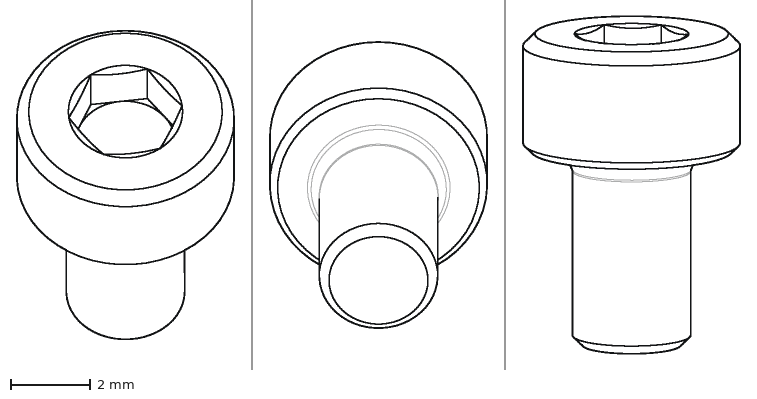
import cadquery as cq
import math

overall_length = 8
head_diameter = 5.5
head_height = 3.0
head_top_chamfer = 0.3
head_bottom_chamfer = 0.2
shank_diameter = 3.0
shank_length = overall_length - head_height
tip_chamfer = 0.25
neck_diameter = 3.48
neck_height = 0.5
neck_fillet = 0.1

socket_across_flats = 2.5
socket_depth = 1.28
drill_point_angle = 120
countersink_angle = 130

head_radius = head_diameter / 2
shank_radius = shank_diameter / 2
flat_radius = socket_across_flats / 2
corner_radius = flat_radius / math.cos(math.radians(30))

selection_margin = 0.04


def cone_height(radius, included_angle):
    """Height of a cone from its base radius and the full angle at its point."""
    return radius / math.tan(math.radians(included_angle / 2))


def make_body():
    """Turned head, tapered neck and shank, with both ends of the neck rounded."""
    profile = [
        (0, -shank_length),
        (shank_radius - tip_chamfer, -shank_length),
        (shank_radius, -shank_length + tip_chamfer),
        (shank_radius, -neck_height),
        (neck_diameter / 2, 0),
        (head_radius - head_bottom_chamfer, 0),
        (head_radius, head_bottom_chamfer),
        (head_radius, head_height - head_top_chamfer),
        (head_radius - head_top_chamfer, head_height),
        (0, head_height),
    ]
    body = cq.Workplane("XZ").polyline(profile).close().revolve(360, (0, 0), (0, 1))

    box_reach = neck_diameter / 2 + selection_margin
    neck_edges = cq.selectors.BoxSelector(
        (-box_reach, -box_reach, -neck_height - selection_margin),
        (box_reach, box_reach, selection_margin),
        boundingbox=True,
    )
    return body.edges("%CIRCLE").edges(neck_edges).fillet(neck_fillet)


def make_cone(radius, included_angle, base_z):
    """Cone pointing down from a circle at base_z."""
    point_z = base_z - cone_height(radius, included_angle)
    profile = [(0, base_z), (radius, base_z), (0, point_z)]
    return cq.Workplane("XZ").polyline(profile).close().revolve(360, (0, 0), (0, 1))


def make_socket():
    """Hexagon with flats facing +X and -X, plus its two conical ends."""
    hexagon = (
        cq.Workplane("XY", origin=(0, 0, head_height))
        .transformed(rotate=(0, 0, 90))
        .polygon(6, 2 * corner_radius)
        .extrude(-socket_depth)
    )
    drill_point = make_cone(flat_radius, drill_point_angle, head_height - socket_depth)
    countersink = make_cone(corner_radius, countersink_angle, head_height)
    return hexagon.union(drill_point).union(countersink)


result = make_body().cut(make_socket())